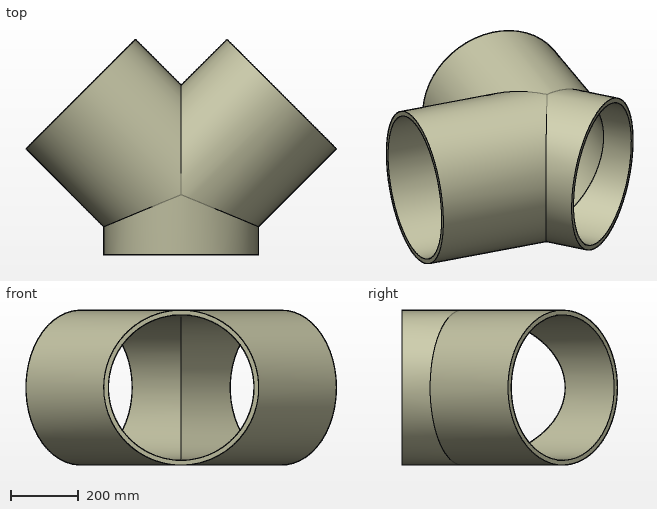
import cadquery as cq
import math

overall_width = 916.0
overall_depth = 636.0
outer_diameter = 457.0
bore_diameter = 429.0
branch_angle = 45.0

outer_radius = outer_diameter / 2
half_width = overall_width / 2
angle = math.radians(branch_angle)

branch_length = (half_width - outer_radius * math.cos(angle)) / math.sin(angle)
branch_reach_y = branch_length * math.cos(angle) + outer_radius * math.sin(angle)
inlet_length = overall_depth - branch_reach_y

pipes = [
    (cq.Vector(0, -1, 0), inlet_length),
    (cq.Vector(math.sin(angle), math.cos(angle), 0), branch_length),
    (cq.Vector(-math.sin(angle), math.cos(angle), 0), branch_length),
]


def joined_cylinders(diameter):
    """Fuse one cylinder per pipe; equal diameters meet along mitre planes."""
    cylinders = [
        cq.Solid.makeCylinder(diameter / 2, length, cq.Vector(0, 0, 0), direction)
        for direction, length in pipes
    ]
    body = cq.Workplane("XY").newObject([cylinders[0]])
    for cylinder in cylinders[1:]:
        body = body.union(cylinder)
    return body


result = joined_cylinders(outer_diameter).cut(joined_cylinders(bore_diameter))